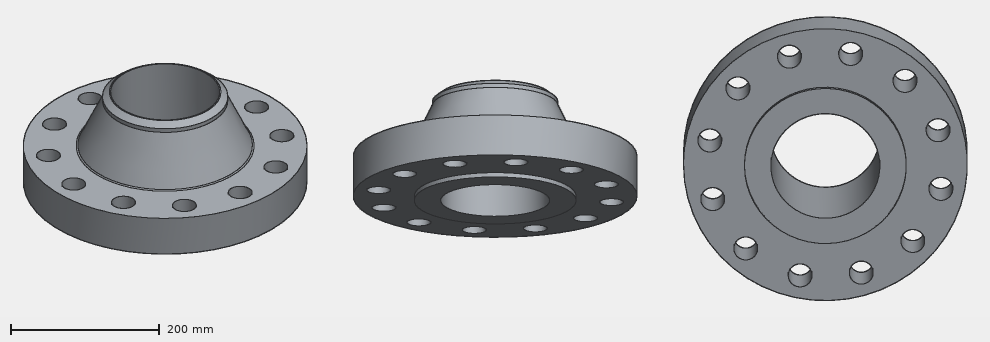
import cadquery as cq

flange_diameter = 381.0
flange_thickness = 56.0

face_diameter = 217.0
face_height = 6.0

overall_height = 146.0
hub_base_diameter = 234.2
hub_root_diameter = 239.0
hub_root_height = 1.0
neck_diameter = 168.5
neck_height = 5.7
bevel_height = 7.2
bevel_top_diameter = 149.5
bore_diameter = 146.3

bolt_circle_diameter = 317.3
bolt_hole_diameter = 32.0
bolt_count = 12

plate_bottom = face_height
plate_top = plate_bottom + flange_thickness
bevel_bottom = overall_height - bevel_height
neck_bottom = bevel_bottom - neck_height


def revolved_body():
    """Revolve the half section of flange, hub and neck about the Z axis."""
    return (
        cq.Workplane("XZ")
        .moveTo(bore_diameter / 2, 0)
        .lineTo(face_diameter / 2, 0)
        .lineTo(face_diameter / 2, plate_bottom)
        .lineTo(flange_diameter / 2, plate_bottom)
        .lineTo(flange_diameter / 2, plate_top)
        .lineTo(hub_root_diameter / 2, plate_top)
        .lineTo(hub_base_diameter / 2, plate_top + hub_root_height)
        .lineTo(neck_diameter / 2, neck_bottom)
        .lineTo(neck_diameter / 2, bevel_bottom)
        .lineTo(bevel_top_diameter / 2, overall_height)
        .lineTo(bore_diameter / 2, overall_height)
        .close()
        .revolve(360, (0, 0, 0), (0, 1, 0))
    )


def bolt_holes():
    """Cylinders through the plate, evenly spaced on the bolt circle."""
    return (
        cq.Workplane("XY")
        .workplane(offset=plate_bottom)
        .polarArray(bolt_circle_diameter / 2, 0, 360, bolt_count)
        .circle(bolt_hole_diameter / 2)
        .extrude(flange_thickness)
    )


result = revolved_body().cut(bolt_holes())